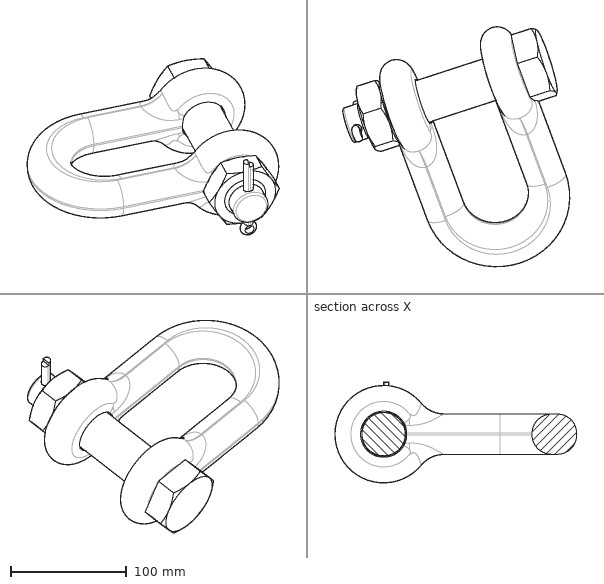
import cadquery as cq
import math


bar_corner_radius = 16.8
bar_side_flat = 1.7
inner_half_offset = 45.6
outer_half_offset = 46.7
inner_bend_y = -100.9
outer_bend_y = -104.5
bar_half_height = bar_corner_radius + bar_side_flat / 2
leg_center = (inner_half_offset + outer_half_offset) / 2

eye_radius = 42.2
eye_rim_radius = 13.9
eye_hub_half_width = 15.1
eye_hub_radius = eye_radius - eye_rim_radius
eye_hole_radius = 20.0
eye_fillet = 25.2
eye_face = leg_center + eye_hub_half_width

shank_radius = 19.0
hex_chamfer_angle = 30.0
head_across_flats = 57.2
head_start = -82.2
nut_across_flats = 55.5
nut_start = 61.5
nut_length = 21.2
nut_end = nut_start + nut_length
stub_radius = 15.8
stub_start = 85.8
stub_end = 99.6
stub_end_fillet = 1.9

cotter_x = 91.5
cotter_hole_radius = 4.2
cotter_half_width = 3.4
cotter_press = 0.2
cotter_half_depth = cotter_hole_radius + cotter_press
cotter_ring_radius = 7.4
cotter_ring_z = -26.7
front_leg_top = 45.0
rear_leg_top = 41.6


def bar_half(offset, side, bend_y):
    """Half of the bar: two straight legs joined by a half-turn bend.

    The half bulges away from the Y axis for side = 1 and toward it for side = -1.
    """
    middle = bar_corner_radius * math.sqrt(0.5)
    flat = bar_side_flat / 2

    def section(mirror):
        def point(out, z):
            return mirror * (offset + side * out), z

        return (
            cq.Workplane("XZ", origin=(0, bend_y, 0))
            .moveTo(*point(0, -bar_half_height))
            .threePointArc(point(middle, -flat - middle), point(bar_corner_radius, -flat))
            .lineTo(*point(bar_corner_radius, flat))
            .threePointArc(point(middle, flat + middle), point(0, bar_half_height))
            .close()
        )

    bend = section(1).revolve(180, (0, 0), (0, -1))
    return bend.union(section(1).extrude(bend_y)).union(section(-1).extrude(bend_y))


def bar_core():
    """Plate between the two bar halves, thickest at the crown."""
    return (
        cq.Workplane("XY")
        .moveTo(outer_half_offset, 0)
        .lineTo(outer_half_offset, outer_bend_y)
        .threePointArc((0, outer_bend_y - outer_half_offset), (-outer_half_offset, outer_bend_y))
        .lineTo(-outer_half_offset, 0)
        .lineTo(-inner_half_offset, 0)
        .lineTo(-inner_half_offset, inner_bend_y)
        .threePointArc((0, inner_bend_y - inner_half_offset), (inner_half_offset, inner_bend_y))
        .lineTo(inner_half_offset, 0)
        .close()
        .extrude(bar_half_height, both=True)
    )


def eye_disc(x):
    """Disc with a half-round rim, centred on the leg at X = x."""
    return (
        cq.Workplane("XY", origin=(x, 0, 0))
        .moveTo(-eye_rim_radius, 0)
        .lineTo(-eye_rim_radius, eye_hub_radius)
        .threePointArc((0, eye_radius), (eye_rim_radius, eye_hub_radius))
        .lineTo(eye_rim_radius, 0)
        .close()
        .revolve(360, (0, 0), (1, 0))
    )


def eye_hubs(x):
    """Shallow cones that thicken the eye at X = x toward its hole."""
    return (
        cq.Workplane("XY", origin=(x, 0, 0))
        .moveTo(-eye_hub_half_width, 0)
        .lineTo(-eye_hub_half_width, eye_hole_radius)
        .lineTo(-eye_rim_radius, eye_hub_radius)
        .lineTo(eye_rim_radius, eye_hub_radius)
        .lineTo(eye_hub_half_width, eye_hole_radius)
        .lineTo(eye_hub_half_width, 0)
        .close()
        .revolve(360, (0, 0), (1, 0))
    )


def fillet_legs_into_eyes(body):
    """Round the edges where the legs run into the rims of the eyes."""
    near_eyes = cq.selectors.BoxSelector(
        (-2 * leg_center, -eye_radius, -eye_radius),
        (2 * leg_center, -eye_rim_radius, eye_radius),
    )
    return body.edges(near_eyes).fillet(eye_fillet)


def make_bow(bolt):
    bow = bar_half(outer_half_offset, 1, outer_bend_y)
    bow = bow.union(bar_core())
    bow = bow.union(bar_half(inner_half_offset, -1, inner_bend_y))
    for x in (-leg_center, leg_center):
        bow = bow.union(eye_disc(x))
    bow = fillet_legs_into_eyes(bow)
    for x in (-leg_center, leg_center):
        bow = bow.union(eye_hubs(x))
    bow = bow.cut(x_cylinder(eye_hole_radius, -eye_face, eye_face))
    return bow.cut(bolt)


def x_cylinder(radius, start, end):
    """Cylinder on the bolt axis from X = start to X = end."""
    return cq.Workplane("YZ", origin=(start, 0, 0)).circle(radius).extrude(end - start)


def hexagon(across_flats, start, end):
    """Hexagonal prism along X with flats on top and bottom."""
    across_corners = across_flats / math.cos(math.pi / 6)
    return cq.Workplane("YZ", origin=(start, 0, 0)).polygon(6, across_corners).extrude(end - start)


def corner_chamfer(across_flats, face, inward):
    """Cone that trims the hexagon corners at X = face; the body lies on the inward side."""
    flat_radius = across_flats / 2
    base_radius = across_flats
    depth = (base_radius - flat_radius) * math.tan(math.radians(hex_chamfer_angle))
    return (
        cq.Workplane("XY")
        .moveTo(face, 0)
        .lineTo(face, flat_radius)
        .lineTo(face + inward * depth, base_radius)
        .lineTo(face + inward * across_flats, base_radius)
        .lineTo(face + inward * across_flats, 0)
        .close()
        .revolve(360, (0, 0), (1, 0))
    )


def bolt_head():
    head = hexagon(head_across_flats, head_start, -eye_face)
    return head.intersect(corner_chamfer(head_across_flats, head_start, 1))


def nut():
    body = hexagon(nut_across_flats, nut_start, nut_end)
    body = body.intersect(corner_chamfer(nut_across_flats, nut_start, 1))
    return body.intersect(corner_chamfer(nut_across_flats, nut_end, -1))


def shank():
    """Shank with a 45 degree shoulder down to the end stub."""
    shoulder = shank_radius - stub_radius
    body = x_cylinder(shank_radius, -eye_face, stub_start).faces(">X").chamfer(shoulder)
    stub = x_cylinder(stub_radius, stub_start, stub_end).faces(">X").edges().fillet(stub_end_fillet)
    hole = cq.Workplane("XY", origin=(cotter_x, 0, 0)).circle(cotter_hole_radius)
    return body.union(stub).cut(hole.extrude(stub_radius, both=True))


def cotter_leg(side, top):
    """D-shaped leg on one side of the Y = 0 plane, pressed into the cotter hole wall."""
    straight = cotter_half_depth - cotter_half_width
    bottom = cotter_ring_z + cotter_ring_radius - cotter_half_width
    return (
        cq.Workplane("XY", origin=(cotter_x, 0, bottom))
        .moveTo(-cotter_half_width, 0)
        .lineTo(-cotter_half_width, side * straight)
        .threePointArc((0, side * cotter_half_depth), (cotter_half_width, side * straight))
        .lineTo(cotter_half_width, 0)
        .close()
        .extrude(top - bottom)
    )


def cotter_ring():
    """Ring of half-round wire that joins the cotter legs below the stub."""
    inner_radius = cotter_ring_radius - cotter_half_width
    return (
        cq.Workplane("XY", origin=(cotter_x, 0, cotter_ring_z))
        .moveTo(-cotter_half_width, inner_radius)
        .threePointArc((0, cotter_ring_radius), (cotter_half_width, inner_radius))
        .close()
        .revolve(360, (0, 0), (1, 0))
    )


def make_bolt():
    bolt = shank().union(bolt_head()).union(nut())
    bolt = bolt.union(cotter_leg(-1, front_leg_top)).union(cotter_leg(1, rear_leg_top))
    return bolt.union(cotter_ring())


bolt = make_bolt()
bow = make_bow(bolt)

result = cq.Compound.makeCompound([bow.val(), bolt.val()])